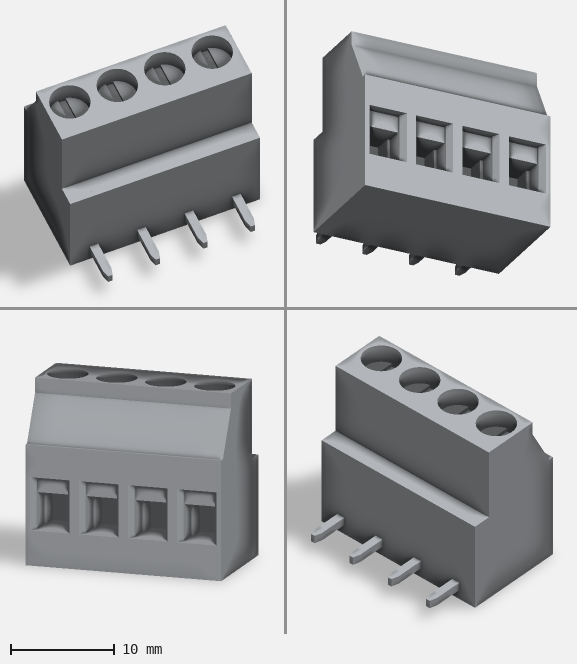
import cadquery as cq

pole_count = 4
pitch = 5.0
width = pole_count * pitch
pole_positions = [(i - (pole_count - 1) / 2) * pitch for i in range(pole_count)]
split_y = pole_positions[-1]

body_depth = 11.2
body_height = 18.0
ledge_depth = 0.5
ledge_height = 12.0
tower_front = 2.9
tower_back = 9.2
slope_top = 16.5
shoulder_height = 10.0

screw_x = 5.35
well_diameter = 4.0
well_depth = 2.0
screw_slot_width = 0.8
screw_slot_depth = 0.4

entry_bottom = 3.5
entry_top = 8.8
entry_mouth_width = 4.0
entry_width = 3.2
entry_flare_depth = 0.75
entry_mouth_depth = 1.08
entry_depth = 2.8
clamp_width = 2.6
clamp_top = 7.1
clamp_depth = 2.0

pin_length = 4.0
pin_width = 0.9
pin_bottom = 1.1
pin_height = 0.9
pin_tip_width = 0.45
pin_tip_length = 0.8


def make_housing():
    """Stepped block with a sloped front, extruded along the row of poles."""
    outline = [
        (0, 0),
        (body_depth, 0),
        (body_depth, shoulder_height),
        (tower_back, shoulder_height),
        (tower_back, body_height),
        (tower_front, body_height),
        (tower_front, slope_top),
        (ledge_depth, ledge_height),
        (0, ledge_height),
    ]
    return cq.Workplane("XZ").polyline(outline).close().extrude(width / 2, both=True)


def make_screw_well(y):
    """Cutter for a round well whose floor is a screw head with a driver slot."""
    floor_height = body_height - well_depth
    well = (
        cq.Workplane("XY", origin=(screw_x, y, floor_height))
        .circle(well_diameter / 2)
        .extrude(well_depth)
    )
    slot = (
        cq.Workplane("XY", origin=(screw_x, y, floor_height - screw_slot_depth))
        .circle(well_diameter / 2)
        .extrude(screw_slot_depth)
        .intersect(
            cq.Workplane("XY", origin=(screw_x, y, floor_height))
            .box(well_diameter, screw_slot_width, 2 * screw_slot_depth)
        )
    )
    return well.union(slot)


def make_channel(y, depth, channel_width):
    """Box cutter that runs inwards from the wire-entry face along the entry floor."""
    return cq.Workplane("XY", origin=(0, y - channel_width / 2, entry_bottom)).box(
        depth, channel_width, clamp_top - entry_bottom, centered=False
    )


def make_wire_entry(y):
    """Cutter for a flared wire entry that leads into a smaller clamp chamber."""
    mouth_outline = [
        (0, y - entry_mouth_width / 2),
        (entry_flare_depth, y - entry_width / 2),
        (entry_mouth_depth, y - entry_width / 2),
        (entry_mouth_depth, y + entry_width / 2),
        (entry_flare_depth, y + entry_width / 2),
        (0, y + entry_mouth_width / 2),
    ]
    mouth = (
        cq.Workplane("XY", origin=(0, 0, entry_bottom))
        .polyline(mouth_outline)
        .close()
        .extrude(entry_top - entry_bottom)
    )
    channel = make_channel(y, entry_depth, entry_width)
    clamp_chamber = make_channel(y, entry_depth + clamp_depth, clamp_width)
    return mouth.union(channel).union(clamp_chamber)


def make_pin(y):
    """Flat pin with a tapered tip, standing out of the back face."""
    pin_end = body_depth + pin_length
    taper_start = pin_end - pin_tip_length
    outline = [
        (body_depth, y - pin_width / 2),
        (taper_start, y - pin_width / 2),
        (pin_end, y - pin_tip_width / 2),
        (pin_end, y + pin_tip_width / 2),
        (taper_start, y + pin_width / 2),
        (body_depth, y + pin_width / 2),
    ]
    return cq.Workplane("XY", origin=(0, 0, pin_bottom)).polyline(outline).close().extrude(pin_height)


def make_terminal_block():
    """Complete row of poles before it is divided into sections."""
    block = make_housing()
    for y in pole_positions:
        block = block.cut(make_screw_well(y)).cut(make_wire_entry(y)).union(make_pin(y))
    return block


def take_section(block, y_start, y_end):
    """Part of the row between two planes across Y."""
    slab = cq.Workplane("XY", origin=(0, y_start, 0)).box(
        body_depth + pin_length, y_end - y_start, body_height, centered=False
    )
    return block.intersect(slab, clean=False)


terminal_block = make_terminal_block()
middle_section = take_section(terminal_block, -split_y, split_y)
end_sections = [
    take_section(terminal_block, -width / 2, -split_y),
    take_section(terminal_block, split_y, width / 2),
]

result = cq.Compound.makeCompound(
    [middle_section.val(), *[section.val() for section in end_sections]]
)